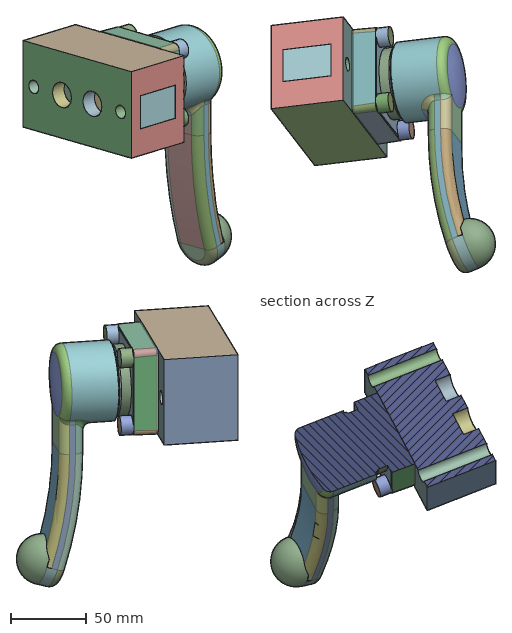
import cadquery as cq
import math

BLOCK_WIDTH = 100.0
BLOCK_DEPTH = 50.0
BLOCK_HEIGHT = 60.0
PORT_DIAMETER = 17.3
PORT_DEPTH = 11.0
PORT_SPACING = 28.0
MOUNTING_DIAMETER = 9.0
MOUNTING_SPACING = 80.0
LABEL_LENGTH = 33.2
LABEL_HEIGHT = 23.0
LABEL_THICKNESS = 0.2

BONNET_FOOT_SIDE = 60.4
FOOT_THICKNESS = 1.0
FOOT_CORNER_RADIUS = 4.0
BONNET_TOP_SIDE = 59.9
BONNET_TOP_CORNER_RADIUS = 4.3
BONNET_HEIGHT = 17.0
BONNET_EDGE_CHAMFER = 0.7
SCREW_HEAD_DIAMETER = 13.0
SCREW_HEAD_HEIGHT = 8.0

NECK_RADIUS = 24.0
NECK_LENGTH = 6.7
COLLAR_RADIUS = 25.1
COLLAR_LENGTH = 1.0
COLLAR_CONE_LENGTH = 1.4
HUB_RADIUS = 27.0
HUB_LENGTH = 37.3
HUB_EDGE_RADIUS = 5.6
DOME_HEIGHT = 2.2

ARM_WIDTH = 34.0
ARM_THICKNESS = 16.0
ARM_EDGE_RADIUS = 6.0
ARM_STRAIGHT_LENGTH = 44.0
ARM_BEND_RADIUS = 276.2
ARM_BEND_ANGLE = 17.3
ARM_ROOT_FILLET = 5.1
BALL_CENTER_OFFSET = 13.3

BONNET_BASE_Y = BLOCK_DEPTH
FOOT_TOP_Y = BONNET_BASE_Y + FOOT_THICKNESS
BONNET_TOP_Y = BONNET_BASE_Y + BONNET_HEIGHT
NECK_END_Y = BONNET_TOP_Y + NECK_LENGTH
COLLAR_START_Y = NECK_END_Y + COLLAR_CONE_LENGTH
HUB_START_Y = COLLAR_START_Y + COLLAR_LENGTH
HUB_END_Y = HUB_START_Y + HUB_LENGTH
ARM_INNER_Y = HUB_END_Y - ARM_THICKNESS


def xz_plane(y):
    """Sketch plane facing +Y at the given y; its local axes are +Z and +X."""
    return cq.Plane(origin=(0, y, 0), xDir=(0, 0, 1), normal=(0, 1, 0))


def cylinder_y(radius, start_y, end_y, x=0, z=0):
    return cq.Workplane(xz_plane(start_y)).center(z, x).circle(radius).extrude(end_y - start_y)


def rounded_square(side, corner_radius):
    return cq.Sketch().rect(side, side).vertices().fillet(corner_radius)


def make_port_block():
    """Block with two blind ports, two through mounting holes and a raised label pad on its +X side."""
    block = cq.Workplane("XY").box(BLOCK_WIDTH, BLOCK_DEPTH, BLOCK_HEIGHT)
    block = block.translate((0, BLOCK_DEPTH / 2, 0))
    label = cq.Workplane("XY").box(2 * LABEL_THICKNESS, LABEL_LENGTH, LABEL_HEIGHT)
    block = block.union(label.translate((BLOCK_WIDTH / 2, BLOCK_DEPTH / 2, 0)))
    for side in (-1, 1):
        block = block.cut(cylinder_y(PORT_DIAMETER / 2, 0, PORT_DEPTH, x=side * PORT_SPACING / 2))
        block = block.cut(cylinder_y(MOUNTING_DIAMETER / 2, 0, BLOCK_DEPTH, x=side * MOUNTING_SPACING / 2))
    return block


def make_bonnet():
    foot_outline = rounded_square(BONNET_FOOT_SIDE, FOOT_CORNER_RADIUS)
    top_outline = rounded_square(BONNET_TOP_SIDE, BONNET_TOP_CORNER_RADIUS)
    foot = cq.Workplane(xz_plane(BONNET_BASE_Y)).placeSketch(foot_outline).extrude(FOOT_THICKNESS)
    taper_height = BONNET_HEIGHT - FOOT_THICKNESS
    body = (
        cq.Workplane(xz_plane(FOOT_TOP_Y))
        .placeSketch(foot_outline, top_outline.moved(cq.Location(cq.Vector(0, 0, taper_height))))
        .loft()
        .faces(">Y")
        .chamfer(BONNET_EDGE_CHAMFER)
    )
    bonnet = foot.union(body)
    head_offset = (BONNET_FOOT_SIDE - SCREW_HEAD_DIAMETER) / 2
    for x_side in (-1, 1):
        for z_side in (-1, 1):
            head = cylinder_y(
                SCREW_HEAD_DIAMETER / 2,
                BONNET_TOP_Y - BONNET_EDGE_CHAMFER,
                BONNET_TOP_Y + SCREW_HEAD_HEIGHT,
                x=x_side * head_offset,
                z=z_side * head_offset,
            )
            bonnet = bonnet.union(head)
    return bonnet


def make_hub():
    dome_radius = HUB_RADIUS - HUB_EDGE_RADIUS
    dome_sphere_radius = (dome_radius**2 + DOME_HEIGHT**2) / (2 * DOME_HEIGHT)
    crown_y = HUB_END_Y + DOME_HEIGHT
    half_angle = math.asin(dome_radius / dome_sphere_radius) / 2
    dome_mid = (
        dome_sphere_radius * math.sin(half_angle),
        crown_y - dome_sphere_radius * (1 - math.cos(half_angle)),
    )
    edge_reach = HUB_EDGE_RADIUS * math.sqrt(0.5)
    edge_mid = (dome_radius + edge_reach, HUB_END_Y - HUB_EDGE_RADIUS + edge_reach)
    profile = (
        cq.Workplane("XY")
        .moveTo(0, BONNET_TOP_Y)
        .lineTo(NECK_RADIUS, BONNET_TOP_Y)
        .lineTo(NECK_RADIUS, NECK_END_Y)
        .lineTo(COLLAR_RADIUS, COLLAR_START_Y)
        .lineTo(COLLAR_RADIUS, HUB_START_Y)
        .lineTo(HUB_RADIUS, HUB_START_Y)
        .lineTo(HUB_RADIUS, HUB_END_Y - HUB_EDGE_RADIUS)
        .threePointArc(edge_mid, (dome_radius, HUB_END_Y))
        .threePointArc(dome_mid, (0, crown_y))
        .close()
    )
    return profile.revolve(360, (0, 0, 0), (0, 1, 0))


def make_arm():
    """Rounded bar swept down the hub side, ending in a round tip with a ball on its outer face."""
    middle_y = HUB_END_Y - ARM_THICKNESS / 2
    section = (
        cq.Workplane("XY")
        .sketch()
        .rect(ARM_WIDTH, ARM_THICKNESS)
        .vertices()
        .fillet(ARM_EDGE_RADIUS)
        .finalize()
    )
    straight = section.extrude(-ARM_STRAIGHT_LENGTH).translate((0, middle_y, 0))
    axis_offset = ARM_BEND_RADIUS - ARM_THICKNESS / 2
    bend = section.revolve(ARM_BEND_ANGLE, (0, axis_offset, 0), (1, axis_offset, 0))
    bend = bend.translate((0, middle_y, -ARM_STRAIGHT_LENGTH))
    return straight.union(bend).union(make_tip())


def make_tip():
    """Round arm end: half a barrel with a filleted inner face, and a hemispherical ball."""
    radius = ARM_WIDTH / 2
    fillet_reach = ARM_EDGE_RADIUS * math.sqrt(0.5)
    flat_radius = radius - ARM_EDGE_RADIUS
    fillet_mid = (flat_radius + fillet_reach, ARM_EDGE_RADIUS - fillet_reach)
    ball_reach = radius * math.sqrt(0.5)
    barrel_profile = (
        cq.Workplane("XY")
        .lineTo(flat_radius, 0)
        .threePointArc(fillet_mid, (radius, ARM_EDGE_RADIUS))
        .lineTo(radius, BALL_CENTER_OFFSET)
        .lineTo(0, BALL_CENTER_OFFSET)
        .close()
    )
    ball_profile = (
        cq.Workplane("XY")
        .moveTo(0, BALL_CENTER_OFFSET)
        .lineTo(radius, BALL_CENTER_OFFSET)
        .threePointArc((ball_reach, BALL_CENTER_OFFSET + ball_reach), (0, BALL_CENTER_OFFSET + radius))
        .close()
    )
    barrel = barrel_profile.revolve(180, (0, 0, 0), (0, 1, 0))
    ball = ball_profile.revolve(360, (0, 0, 0), (0, 1, 0))
    tip = barrel.union(ball).rotate((0, 0, 0), (1, 0, 0), ARM_BEND_ANGLE)
    bend = math.radians(ARM_BEND_ANGLE)
    tip_y = ARM_INNER_Y + ARM_BEND_RADIUS * (1 - math.cos(bend))
    tip_z = -ARM_STRAIGHT_LENGTH - ARM_BEND_RADIUS * math.sin(bend)
    return tip.translate((0, tip_y, tip_z))


def make_handle():
    """Hub and arm, blended where the inner side of the arm leaves the hub."""
    handle = make_hub().union(make_arm())
    arm_root = cq.selectors.BoxSelector(
        (-ARM_WIDTH, HUB_START_Y, -HUB_RADIUS),
        (ARM_WIDTH, HUB_END_Y - HUB_EDGE_RADIUS, -HUB_RADIUS / 2),
    )
    return handle.edges(arm_root).fillet(ARM_ROOT_FILLET)


def make_valve():
    return make_bonnet().union(make_handle())


port_block = make_port_block()
valve = make_valve()

result = cq.Compound.makeCompound([port_block.solids().val(), valve.solids().val()])